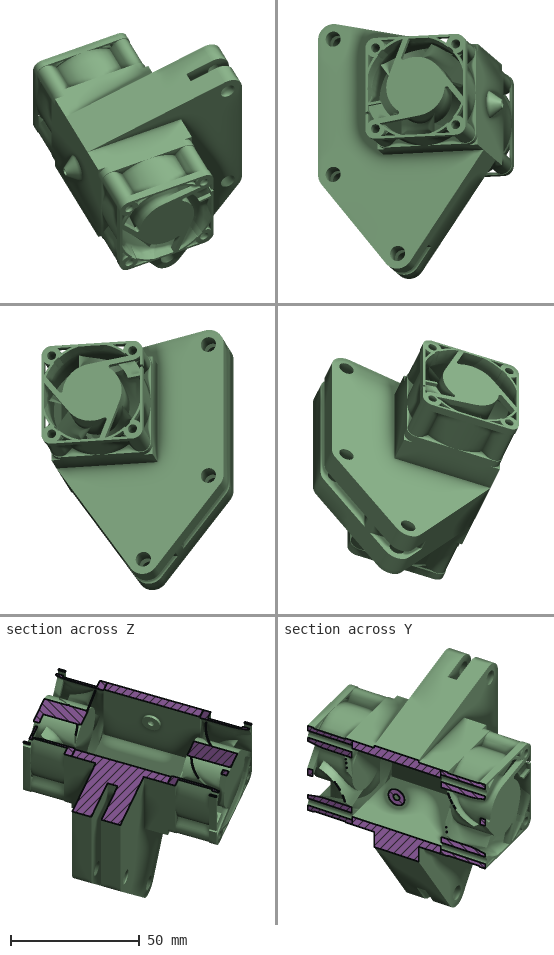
import cadquery as cq
import math

block_size = 39.9
block_width = 39.9
duct_size = 32.0
plate_width = 20.0
lug_radius = 6.0
lug_hole_diameter = 6.0
rear_lug_y = 40.0
rear_lug_z = 26.8
lower_lug_y = 14.3
lower_lug_z = -59.4
clevis_width = 4.0
rear_slot_y = 27.9
lower_slot_z = -54.8

nozzle_base_radius = 5.3
nozzle_tip_radius = 1.7
nozzle_cone_length = 5.0
nozzle_shank_radius = 3.7
nozzle_shank_length = 5.0
nozzle_bore_diameter = 2.6

fan_depth = 20.0
flange_thickness = 3.0
flange_corner_radius = 3.9
screw_spacing = 32.0
screw_hole_diameter = 3.5
post_radius = 3.7
bore_radius = 19.0
flare_radius = 19.7
relief_radius = 20.1
relief_width = 2.7
flare_depth = 6.6
rim_width = 1.0
pocket_inner_radius = 20.6

spoke_count = 3
hub_radius = 11.7
spoke_width = 2.1
spoke_thickness = 2.6
spoke_angle = 68.5
spoke_fillet = 0.8
channel_inner_radius = 15.0
channel_wall = 1.0
channel_wall_offset = 2.7
channel_depth = 1.6
cable_slit_width = 1.0
cable_slit_offset = 9.6

blade_count = 5
blade_tip_radius = 18.4
blade_thickness = 0.5
blade_curve_radius = 17.9
blade_tail_tilt = 10
blade_nose_tilt = 72
blade_curve_start = -7.7
blade_tail_length = 2.2
rotor_back = 18.2

half_block = block_size / 2
half_inner = half_block - rim_width
lug_centers = [(rear_lug_y, rear_lug_z), (rear_lug_y, -rear_lug_z), (lower_lug_y, lower_lug_z)]


def make_nozzle():
    """Cone with a straight shank, revolved about the Y axis."""
    front = -half_block
    tip = front - nozzle_cone_length
    inner_end = front + nozzle_shank_length
    hole_radius = nozzle_bore_diameter / 2
    return (
        cq.Workplane("XY")
        .moveTo(hole_radius, tip)
        .lineTo(nozzle_tip_radius, tip)
        .lineTo(nozzle_base_radius, front)
        .lineTo(nozzle_shank_radius, front)
        .lineTo(nozzle_shank_radius, inner_end)
        .lineTo(hole_radius, inner_end)
        .close()
        .revolve(360, (0, 0, 0), (0, 1, 0))
    )


def plate_outline():
    """Taut outline around the three lugs and the front edge of the block."""
    sketch = cq.Sketch()
    for center in lug_centers:
        sketch = sketch.arc(center, lug_radius, 0, 360)
    front_edge = ((-half_block, -half_block), (-half_block, half_block))
    return sketch.segment(*front_edge).hull()


def make_housing():
    block = cq.Workplane("XY").box(block_width, block_size, block_size)
    plate = (
        cq.Workplane("YZ", origin=(-plate_width / 2, 0, 0))
        .placeSketch(plate_outline())
        .extrude(plate_width)
    )
    housing = block.union(plate)

    duct = cq.Workplane("XY").box(block_width, duct_size, duct_size)
    lug_holes = (
        cq.Workplane("YZ", origin=(-plate_width / 2, 0, 0))
        .pushPoints(lug_centers)
        .circle(lug_hole_diameter / 2)
        .extrude(plate_width)
    )
    plate_back = rear_lug_y + lug_radius
    plate_bottom = lower_lug_z - lug_radius
    rear_slot = cq.Workplane("XY").box(
        clevis_width, plate_back - rear_slot_y, 2 * abs(plate_bottom)
    ).translate((0, (plate_back + rear_slot_y) / 2, 0))
    lower_slot = cq.Workplane("XY").box(
        clevis_width, 2 * plate_back, lower_slot_z - plate_bottom
    ).translate((0, 0, (lower_slot_z + plate_bottom) / 2))
    shank_hole = (
        cq.Workplane("XZ", origin=(0, -half_block, 0))
        .circle(nozzle_shank_radius)
        .extrude(-nozzle_shank_length)
    )
    return housing.cut(duct).cut(lug_holes).cut(rear_slot).cut(lower_slot).cut(shank_hole)




def disc(radius, top, thickness):
    """Cylinder on the fan axis from `top` downwards."""
    return cq.Workplane("XY", origin=(0, 0, top)).circle(radius).extrude(-thickness)


def slab(x_range, y_range, top, thickness):
    """Box between two X and two Y values, from `top` downwards."""
    return cq.Workplane("XY").box(
        x_range[1] - x_range[0], y_range[1] - y_range[0], thickness, centered=False
    ).translate((x_range[0], y_range[0], top - thickness))


def flange(top):
    return (
        cq.Workplane("XY", origin=(0, 0, top))
        .rect(block_size, block_size)
        .extrude(-flange_thickness)
        .edges("|Z")
        .fillet(flange_corner_radius)
    )


def at_screws(radius, thickness):
    """Four cylinders at the screw positions."""
    return (
        cq.Workplane("XY")
        .rect(screw_spacing, screw_spacing, forConstruction=True)
        .vertices()
        .circle(radius)
        .extrude(-thickness)
    )


def flare(outer_radius):
    """Cone that widens the bore towards the outer face."""
    return (
        cq.Workplane("XZ")
        .polyline([
            (0, 0),
            (outer_radius, 0),
            (bore_radius, -flare_depth),
            (0, -flare_depth),
        ])
        .close()
        .revolve(360, (0, 0, 0), (0, 1, 0))
    )


def diagonal_bars(width, thickness):
    """Two crossed bars that run from corner post to corner post."""
    length = screw_spacing * math.sqrt(2)
    bar = cq.Workplane("XY").box(length, width, thickness, centered=(True, True, False))
    bar = bar.translate((0, 0, -thickness))
    return bar.rotate((0, 0, 0), (0, 0, 1), 45).union(bar.rotate((0, 0, 0), (0, 0, 1), -45))


def make_frame():
    barrel = disc(half_block, 0, fan_depth)
    posts = at_screws(post_radius, fan_depth).union(diagonal_bars(2 * post_radius, fan_depth))
    frame = barrel.union(posts).union(flange(0)).union(flange(flange_thickness - fan_depth))

    long_side = (-half_inner, half_inner)
    short_side = (-screw_spacing / 2, screw_spacing / 2)
    pockets = (
        slab(long_side, short_side, 0, flange_thickness)
        .union(slab(short_side, long_side, 0, flange_thickness))
        .cut(disc(pocket_inner_radius, 0, flange_thickness))
        .cut(at_screws(post_radius, flange_thickness))
    )
    bore_limit = slab((-half_inner, half_inner), (-half_inner, half_inner), 0, flare_depth)
    relief = flare(relief_radius).intersect(
        diagonal_bars(relief_width, flare_depth)
    )
    return (
        frame.cut(disc(bore_radius, 0, fan_depth))
        .cut(flare(flare_radius).intersect(bore_limit))
        .cut(relief)
        .cut(pockets)
        .cut(at_screws(screw_hole_diameter / 2, fan_depth))
    )


def make_spoke():
    """Bar tangent to the hub, rounded where its inner side meets the hub."""
    spoke_inner = hub_radius - spoke_width
    fillet_reach = hub_radius + spoke_fillet
    fillet_y = spoke_inner - spoke_fillet
    fillet_x = math.sqrt(fillet_reach**2 - fillet_y**2)
    hub_share = hub_radius / fillet_reach
    middle_angle = (math.radians(270) + math.atan2(fillet_y, fillet_x)) / 2
    fillet_middle = (
        fillet_x + spoke_fillet * math.cos(middle_angle),
        fillet_y + spoke_fillet * math.sin(middle_angle),
    )
    return (
        cq.Workplane("XY")
        .lineTo(0, hub_radius)
        .lineTo(half_block, hub_radius)
        .lineTo(half_block, spoke_inner)
        .lineTo(fillet_x, spoke_inner)
        .threePointArc(fillet_middle, (fillet_x * hub_share, fillet_y * hub_share))
        .close()
        .extrude(-spoke_thickness)
        .intersect(disc(flare_radius, 0, spoke_thickness))
    )


def make_hub_and_spokes():
    hub = disc(hub_radius, 0, rotor_back)
    spoke = make_spoke()
    for index in range(spoke_count):
        angle = spoke_angle + index * 360 / spoke_count
        hub = hub.union(spoke.rotate((0, 0, 0), (0, 0, 1), angle))
    return hub


def make_blade():
    """Curved sheet with a straight tail and a sharp nose, extruded along -Y from beside the axis."""
    tail_tilt = math.radians(blade_tail_tilt)
    nose_tilt = math.radians(blade_nose_tilt)
    middle_tilt = (tail_tilt + nose_tilt) / 2
    outer_radius = blade_curve_radius + blade_thickness
    tail_drop = blade_tail_length * math.sin(tail_tilt)
    center_x = blade_curve_start - blade_curve_radius * math.sin(tail_tilt)
    center_z = -rotor_back + outer_radius * math.cos(tail_tilt) + tail_drop

    def on_curve(radius, tilt, tail=0):
        return (
            center_x + radius * math.sin(tilt) - tail * math.cos(tilt),
            center_z - radius * math.cos(tilt) - tail * math.sin(tilt),
        )

    nose = on_curve(blade_curve_radius, nose_tilt)
    return (
        cq.Workplane("XZ")
        .moveTo(*on_curve(blade_curve_radius, tail_tilt, blade_tail_length))
        .lineTo(*on_curve(blade_curve_radius, tail_tilt))
        .threePointArc(on_curve(blade_curve_radius, middle_tilt), nose)
        .threePointArc(on_curve(outer_radius, middle_tilt), on_curve(outer_radius, tail_tilt))
        .lineTo(*on_curve(outer_radius, tail_tilt, blade_tail_length))
        .close()
        .extrude(blade_tip_radius)
        .intersect(disc(blade_tip_radius, 0, fan_depth))
    )


def make_blades():
    """Ring of blades, each rooted inside the hub."""
    blade = make_blade()
    turn = 360 / blade_count
    return [blade.rotate((0, 0, 0), (0, 0, 1), index * turn) for index in range(blade_count)]


def in_spoke_frame(shape):
    """Turn a shape drawn beside the +X axis to lie beside the second spoke."""
    return shape.rotate((0, 0, 0), (0, 0, 1), spoke_angle + 360 / spoke_count)


def add_cable_channel(fan):
    """Recessed floor between the second spoke and a thin parallel wall, open to the rim."""
    spoke_inner = hub_radius - spoke_width
    wall_inner = channel_wall_offset + channel_wall
    across = (0, half_block)
    floor = (
        slab(across, (channel_wall_offset, hub_radius), 0, spoke_thickness)
        .cut(disc(channel_inner_radius, 0, spoke_thickness))
        .intersect(disc(pocket_inner_radius, 0, spoke_thickness))
    )
    recess = slab(across, (wall_inner, spoke_inner), 0, channel_depth).cut(
        disc(channel_inner_radius, 0, channel_depth)
    )
    rim_inside = slab((-half_inner, half_inner), (-half_inner, half_inner), 0, spoke_thickness)
    floor = in_spoke_frame(floor).intersect(rim_inside)
    recess = in_spoke_frame(recess).intersect(rim_inside)
    slit_y = (-cable_slit_offset - cable_slit_width / 2, -cable_slit_offset + cable_slit_width / 2)
    slit = slab((-half_block, -half_inner), slit_y, 0, flange_thickness)
    return fan.union(floor).cut(recess).cut(slit)


def make_fan():
    fan = make_frame().union(make_hub_and_spokes())
    for blade in make_blades():
        fan = fan.union(blade)
    return add_cable_channel(fan)


fan_face = block_width / 2 + fan_depth
fan = make_fan().val()
fans = []
for side in (-1, 1):
    mount = cq.Plane(origin=(side * fan_face, 0, 0), xDir=(0, -1, 0), normal=(side, 0, 0))
    fans.append(fan.moved(cq.Location(mount)))

housing = make_housing()
nozzle = make_nozzle()
result = cq.Compound.makeCompound([housing.val(), nozzle.val(), *fans])